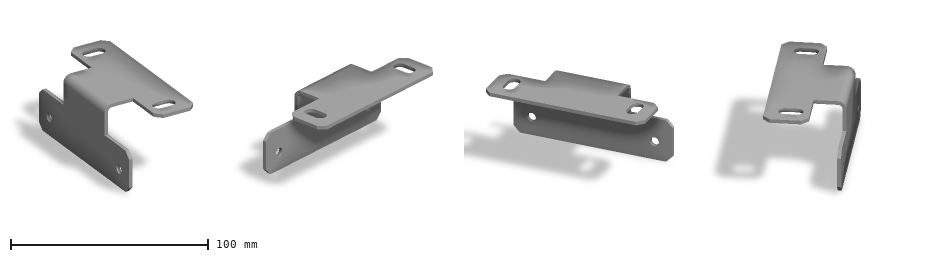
import cadquery as cq

length = 88.0
leg = 40.0
thickness = 2.0
bend_radius = 4.4
neck_width = 40.0

flange_width = 23.3
corner_chamfer = 3.6

fixing_spacing = 68.0
hole_diameter = 4.75
hole_edge_distance = 10.0
slot_length = 12.7
slot_width = 6.5
slot_edge_distance = 13.5


def bent_strip():
    """L-shaped strip: outer faces on Y = 0 and Z = leg, rounded at the bend."""
    outer = cq.Workplane("YZ").rect(leg, leg, centered=False).extrude(neck_width / 2, both=True)
    outer = outer.edges("|X and <Y and >Z").fillet(bend_radius)
    inner_leg = leg - thickness
    inner = (
        cq.Workplane("YZ")
        .center(thickness, 0)
        .rect(inner_leg, inner_leg, centered=False)
        .extrude(neck_width / 2, both=True)
        .edges("|X and <Y and >Z")
        .fillet(bend_radius - thickness)
    )
    return outer.cut(inner)


def upright_flange():
    """Vertical flange with chamfered corners and two round holes."""
    plate = (
        cq.Workplane("XY")
        .box(length, thickness, flange_width, centered=(True, False, False))
        .edges("|Y")
        .chamfer(corner_chamfer)
    )
    holes = (
        cq.Workplane("XZ")
        .center(0, hole_edge_distance)
        .rarray(fixing_spacing, 0.9, 2, 1)
        .circle(hole_diameter / 2)
        .extrude(-thickness)
    )
    return plate.cut(holes)


def top_flange():
    """Horizontal flange with chamfered corners and two slots along Y."""
    plate = (
        cq.Workplane("XY", origin=(0, leg - flange_width / 2, leg - thickness))
        .rect(length, flange_width)
        .extrude(thickness)
        .edges("|Z")
        .chamfer(corner_chamfer)
    )
    slots = (
        cq.Workplane("XY", origin=(0, leg - slot_edge_distance, leg - thickness))
        .rarray(fixing_spacing, 0.9, 2, 1)
        .slot2D(slot_length, slot_width, 90)
        .extrude(thickness)
    )
    return plate.cut(slots)


result = bent_strip().union(upright_flange()).union(top_flange())